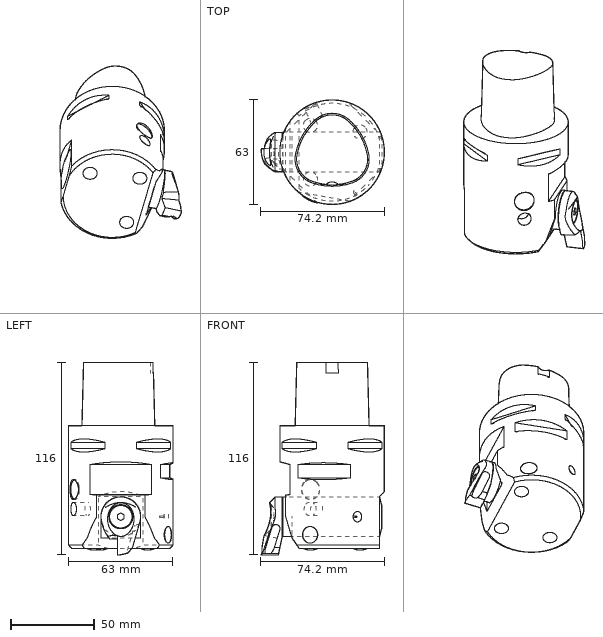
import cadquery as cq
import math


OVERALL_WIDTH = 74.2
OVERALL_HEIGHT = 116.0

BODY_RADIUS = 31.49
BODY_BOTTOM = -74.0
BOTTOM_CHAMFER = 2.0
OVERCUT = 5.8

SHANK_HEIGHT = 38.0
SHANK_TAPER = math.degrees(math.atan(1 / 40))
SIDE_DISTANCE = 20.5
LOBE_DISTANCE = 23.4
SIDE_ARC_RADIUS = 36.7
KEY_NOTCH_DIAMETER = 10.0
KEY_NOTCH_DEPTH = 6.5
KEY_NOTCH_INNER_Y = -17.9

GRIPPER_AZIMUTHS = (45, 135, 225, 315)
GRIPPER_FLOOR = 28.0
GRIPPER_TOP = -10.1
GRIPPER_BOTTOM = -13.9
GRIPPER_WALL_SLOPE = 30
MILLED_WALL_SLOPE = 15

CHIP_SLOT_AZIMUTH = 260
CHIP_SLOT_FLOOR = 27.1
CHIP_SLOT_TOP = -23.5
CHIP_SLOT_BOTTOM = -31.4

FLAT_X = -25.4
FLAT_TOP = -23.5
FLAT_BOTTOM = -41.4
LAND_X = -28.0
LAND_TOP = -41.9
RELIEF_X = -24.1
RELIEF_Z = -67.7
FOOT_X = -19.8

DIAL_FLAT_X = 28.5
DIAL_FLAT_TOP = -42.7

BARREL_DIAMETER = 24.0
BARREL_Z = -54.9
BARREL_FRONT_X = -29.6
DIAL_TIP_X = 29.9
DIAL_TIP_DIAMETER = 13.6

SIDE_BUTTON_AZIMUTH = 245
SIDE_BUTTON_Z = -65.8
SIDE_BUTTON_DIAMETER = 10.0
SIDE_BUTTON_RISE = 0.6
BOTTOM_BUTTON_AZIMUTHS = (36, 129, 231)
BOTTOM_BUTTON_DISTANCE = 20.8
BOTTOM_BUTTON_DIAMETER = 8.5
BOTTOM_BUTTON_RISE = 1.0
PORT_AZIMUTH = 115
SHALLOW_PORT_Z = -38.5
SHALLOW_PORT_DIAMETER = 12.0
SHALLOW_PORT_FLOOR = 30.4
DEEP_PORT_Z = -50.2
DEEP_PORT_DIAMETER = 8.0
DEEP_PORT_FLOOR = 22.0
NOZZLE_AZIMUTH = 299
NOZZLE_RIM_DIAMETER = 6.3
NOZZLE_MOUTH_DIAMETER = 5.0
NOZZLE_JET_DIAMETER = 1.0
NOZZLE_RIM_DEPTH = 0.5
NOZZLE_CONE_DEPTH = 1.7
NOZZLE_JET_DEPTH = 4.6

HEAD_DIAMETER = 23.8
HEAD_BACK_X = -29.9
ARM_BACK_Z = -66.7
HEAD_BACK_SLANT = 12
HEAD_REAR_X = -23.2
TIP_X = BODY_RADIUS - OVERALL_WIDTH
TIP_Z = SHANK_HEIGHT - OVERALL_HEIGHT
HEAD_RIM_X = -34.3
RAKE_Y = 2.1
ARM_SIDE_SLANT = 16
ARM_SIDE_END_Z = -73.5
HEEL_Z = -68.4
HEEL_INNER_Y = 6.5
EDGE_Y = 0.7
NOSE_Y = -4.2
NOSE_Z = -76.9
HEEL_BULGE = (9.7, -63.5)
FACE_MARGIN = 1.2
FACE_RADIUS = 16.8
HEAD_SECTIONS = ((-41.8, -36.9), (-73.1, -42.2))
TIP_SECTIONS = (HEAD_SECTIONS[-1], (-76.6, -42.3))
EDGE_SECTIONS = (TIP_SECTIONS[-1], (TIP_Z, TIP_X))
SCREW_SEAT_X = -36.5
SCREW_SEAT_DIAMETER = 14.5
SCREW_SEAT_MOUTH_X = -44.1
SCREW_FACE_DIAMETER = 13.6
SCREW_FACE_RISE = 0.3
HEX_ACROSS_FLATS = 4.0
HEX_DEPTH = 2.0
COOLANT_GROOVE_DIAMETER = 5.0
COOLANT_GROOVE_START_X = -33.9
COOLANT_GROOVE_START_Z = -62.1
COOLANT_GROOVE_LEAN = 17
COOLANT_GROOVE_LENGTH = 23.2


def tan_deg(angle):
    return math.tan(math.radians(angle))


def radial_plane(azimuth, z, distance=0.0):
    """Plane whose normal points outward from the tool axis and whose X is horizontal."""
    angle = math.radians(azimuth)
    outward = cq.Vector(math.cos(angle), math.sin(angle), 0)
    sideways = (-math.sin(angle), math.cos(angle), 0)
    return cq.Plane(origin=(outward * distance + cq.Vector(0, 0, z)).toTuple(),
                    xDir=sideways, normal=outward.toTuple())


def xz_prism(points, y_min, y_max):
    """Solid with an outline of (X, Z) points, from y_min to y_max."""
    plane = cq.Workplane("XZ", origin=(0, y_max, 0))
    return plane.polyline(points).close().extrude(y_max - y_min)


def x_revolve(profile, z):
    """Revolve (X, radius) points about the line along X at height z."""
    outline = cq.Workplane("XY", origin=(0, 0, z)).polyline(profile).close()
    return outline.revolve(360, (0, 0, 0), (1, 0, 0))


def domed_button(plane, diameter, rise, foot):
    """Round button whose cylindrical foot goes below the plane and whose dome stands above it."""
    radius = diameter / 2
    half_profile = cq.Workplane("XZ").moveTo(0, -foot).lineTo(radius, -foot).lineTo(radius, 0)
    sphere_radius = (radius ** 2 + rise ** 2) / (2 * rise)
    mid_height = math.sqrt(sphere_radius ** 2 - (radius / 2) ** 2) - (sphere_radius - rise)
    dome = half_profile.threePointArc((radius / 2, mid_height), (0, rise)).close()
    button = dome.revolve(360, (0, 0, 0), (0, 1, 0)).val()
    return cq.Workplane(button.moved(cq.Location(plane)))


def lobed_shank():
    """Taper shank of three side arcs blended tangentially into three lobe arcs."""
    side_offset = SIDE_ARC_RADIUS - SIDE_DISTANCE
    gap = LOBE_DISTANCE - SIDE_DISTANCE
    lobe_offset = (2 * gap * side_offset - gap ** 2) / (side_offset - 2 * gap)
    run = lobe_offset * math.sin(math.radians(60))
    rise = side_offset + lobe_offset * math.cos(math.radians(60))
    lean = math.atan2(run, rise)
    joint_x = SIDE_ARC_RADIUS * math.sin(lean)
    joint_y = side_offset - SIDE_ARC_RADIUS * math.cos(lean)
    joint_radius = math.hypot(joint_x, joint_y)
    joint_angle = math.degrees(math.atan2(joint_x, -joint_y))

    def polar(radius, angle):
        return (radius * math.cos(math.radians(angle)), radius * math.sin(math.radians(angle)))

    outline = cq.Workplane("XY").moveTo(*polar(joint_radius, 270 - joint_angle))
    for lobe in range(3):
        side = 270 + 120 * lobe
        outline = outline.threePointArc(polar(SIDE_DISTANCE, side),
                                        polar(joint_radius, side + joint_angle))
        outline = outline.threePointArc(polar(LOBE_DISTANCE, side + 60),
                                        polar(joint_radius, side + 120 - joint_angle))
    shank = outline.close().extrude(SHANK_HEIGHT, taper=SHANK_TAPER)
    notch_y = KEY_NOTCH_INNER_Y - KEY_NOTCH_DIAMETER / 2
    notch = (cq.Workplane("XY", origin=(0, notch_y, SHANK_HEIGHT - KEY_NOTCH_DEPTH))
             .circle(KEY_NOTCH_DIAMETER / 2).extrude(KEY_NOTCH_DEPTH))
    return shank.cut(notch)


def radial_slot(azimuth, floor, top, bottom, wall_slope):
    """Cutter for a flat-floored slot across the cylinder, flaring outward by wall_slope."""
    reach = BODY_RADIUS + OVERCUT
    flare = (reach - floor) * tan_deg(wall_slope)
    profile = [(floor, top), (reach, top + flare), (reach, bottom - flare), (floor, bottom)]
    return xz_prism(profile, -BODY_RADIUS, BODY_RADIUS).rotate((0, 0, 0), (0, 0, 1), azimuth)


def mill_cutter_side(body):
    """Flats and slopes of the -X side, and the slot below the barrel."""
    outer_x = -BODY_RADIUS - OVERCUT
    top_wall_z = FLAT_TOP + (FLAT_X - outer_x) * tan_deg(MILLED_WALL_SLOPE)
    profile = [
        (outer_x, top_wall_z),
        (FLAT_X, FLAT_TOP),
        (FLAT_X, FLAT_BOTTOM),
        (LAND_X, LAND_TOP),
        (LAND_X, BARREL_Z),
        (RELIEF_X, RELIEF_Z),
        (FOOT_X, BODY_BOTTOM),
        (outer_x, BODY_BOTTOM),
    ]
    body = body.cut(xz_prism(profile, -BODY_RADIUS, BODY_RADIUS))
    slot = [(LAND_X, BARREL_Z), (RELIEF_X, BARREL_Z), (RELIEF_X, RELIEF_Z), (LAND_X, RELIEF_Z)]
    return body.cut(xz_prism(slot, -BARREL_DIAMETER / 2, BARREL_DIAMETER / 2))


def mill_dial_side(body):
    """Flat of the +X side with a 45 degree run-out."""
    outer_x = BODY_RADIUS + OVERCUT
    profile = [
        (DIAL_FLAT_X, BODY_BOTTOM),
        (DIAL_FLAT_X, DIAL_FLAT_TOP),
        (outer_x, DIAL_FLAT_TOP + outer_x - DIAL_FLAT_X),
        (outer_x, BODY_BOTTOM),
    ]
    return body.cut(xz_prism(profile, -BODY_RADIUS, BODY_RADIUS))


def round_port(azimuth, z, diameter, floor):
    """Cutter for a round radial hole down to a flat floor."""
    plane = cq.Workplane(radial_plane(azimuth, z, floor))
    return plane.circle(diameter / 2).extrude(BODY_RADIUS + OVERCUT - floor)


def nozzle_cut():
    """Chamfered rim, cone and jet hole of the coolant nozzle."""
    rim = NOZZLE_RIM_DIAMETER / 2
    mouth = NOZZLE_MOUTH_DIAMETER / 2
    jet = NOZZLE_JET_DIAMETER / 2
    profile = [
        (0, OVERCUT),
        (rim, OVERCUT),
        (rim, 0),
        (mouth, -NOZZLE_RIM_DEPTH),
        (jet, -NOZZLE_CONE_DEPTH),
        (jet, -NOZZLE_JET_DEPTH),
        (0, -NOZZLE_JET_DEPTH),
    ]
    cutter = cq.Workplane("XZ").polyline(profile).close().revolve(360, (0, 0, 0), (0, 1, 0)).val()
    place = cq.Location(radial_plane(NOZZLE_AZIMUTH, BARREL_Z, BODY_RADIUS))
    return cq.Workplane(cutter.moved(place))


def make_barrel():
    """Cross barrel with a conical dial on its +X end."""
    radius = BARREL_DIAMETER / 2
    profile = [
        (BARREL_FRONT_X, 0),
        (BARREL_FRONT_X, radius),
        (DIAL_FLAT_X, radius),
        (DIAL_TIP_X, DIAL_TIP_DIAMETER / 2),
        (DIAL_TIP_X, 0),
    ]
    return x_revolve(profile, BARREL_Z)


def make_housing(barrel):
    body = (cq.Workplane("XY", origin=(0, 0, BODY_BOTTOM)).circle(BODY_RADIUS)
            .extrude(-BODY_BOTTOM).faces("<Z").chamfer(BOTTOM_CHAMFER))
    body = mill_dial_side(mill_cutter_side(body))
    for azimuth in GRIPPER_AZIMUTHS:
        body = body.cut(radial_slot(azimuth, GRIPPER_FLOOR, GRIPPER_TOP, GRIPPER_BOTTOM,
                                    GRIPPER_WALL_SLOPE))
    body = body.cut(radial_slot(CHIP_SLOT_AZIMUTH, CHIP_SLOT_FLOOR, CHIP_SLOT_TOP,
                                CHIP_SLOT_BOTTOM, MILLED_WALL_SLOPE))
    body = body.cut(round_port(PORT_AZIMUTH, SHALLOW_PORT_Z, SHALLOW_PORT_DIAMETER,
                               SHALLOW_PORT_FLOOR))
    body = body.cut(round_port(PORT_AZIMUTH, DEEP_PORT_Z, DEEP_PORT_DIAMETER, DEEP_PORT_FLOOR))
    body = body.cut(nozzle_cut())
    body = body.union(domed_button(radial_plane(SIDE_BUTTON_AZIMUTH, SIDE_BUTTON_Z, BODY_RADIUS),
                                   SIDE_BUTTON_DIAMETER, SIDE_BUTTON_RISE, OVERCUT))
    for azimuth in BOTTOM_BUTTON_AZIMUTHS:
        angle = math.radians(azimuth)
        center = (BOTTOM_BUTTON_DISTANCE * math.cos(angle),
                  BOTTOM_BUTTON_DISTANCE * math.sin(angle), BODY_BOTTOM)
        plane = cq.Plane(origin=center, xDir=(1, 0, 0), normal=(0, 0, -1))
        body = body.union(domed_button(plane, BOTTOM_BUTTON_DIAMETER, BOTTOM_BUTTON_RISE, OVERCUT))
    return body.union(lobed_shank()).cut(barrel)


def arm_side_y(z):
    """Y of the slanted -Y side of the arm, tangent to the round head."""
    radius = HEAD_DIAMETER / 2
    lean = math.radians(ARM_SIDE_SLANT)
    return -(radius + (z - BARREL_Z) * math.sin(lean)) / math.cos(lean)


def head_outline():
    """Head profile along X: round top, bulged heel on +Y, and the arm running down to the tip."""
    radius = HEAD_DIAMETER / 2
    lean = math.radians(ARM_SIDE_SLANT)
    tangent_y = -radius * math.cos(lean)
    tangent_z = BARREL_Z - radius * math.sin(lean)
    heel_start = (radius * math.cos(lean), tangent_z)
    outline = (
        cq.Workplane("YZ", origin=(HEAD_REAR_X, 0, 0))
        .moveTo(*heel_start)
        .threePointArc((0, BARREL_Z + radius), (tangent_y, tangent_z))
        .lineTo(arm_side_y(ARM_SIDE_END_Z), ARM_SIDE_END_Z)
        .lineTo(NOSE_Y, NOSE_Z)
        .lineTo(EDGE_Y, TIP_Z)
        .lineTo(RAKE_Y, TIP_Z)
        .lineTo(RAKE_Y, HEEL_Z)
        .lineTo(HEEL_INNER_Y, HEEL_Z)
        .threePointArc(HEEL_BULGE, heel_start)
        .close()
    )
    return outline.extrude(TIP_X - HEAD_REAR_X - OVERCUT)


def curved_face_blank(sections):
    """Blank whose convex -X face runs through the given sections."""
    half_width = (HEAD_DIAMETER + FACE_MARGIN) / 2
    sag = FACE_RADIUS - math.sqrt(FACE_RADIUS ** 2 - half_width ** 2)
    blank = cq.Workplane("XY")
    height = 0.0
    for z, front_x in sections:
        side_x = front_x + sag
        blank = (
            blank.workplane(offset=z - height)
            .moveTo(HEAD_REAR_X, -half_width)
            .lineTo(side_x, -half_width)
            .threePointArc((front_x, 0), (side_x, half_width))
            .lineTo(HEAD_REAR_X, half_width)
            .close()
        )
        height = z
    return blank.loft(combine=True)


def rim_cone_cut():
    """Cutter for the conical rim round the upper half of the head."""
    radius = HEAD_DIAMETER / 2
    profile = [
        (HEAD_RIM_X, radius),
        (HEAD_RIM_X, radius + OVERCUT),
        (HEAD_RIM_X - radius, radius + OVERCUT),
        (HEAD_RIM_X - radius, 0),
    ]
    outline = cq.Workplane("XY", origin=(0, 0, BARREL_Z)).polyline(profile).close()
    return outline.revolve(180, (0, 0, 0), (1, 0, 0))


def back_cut():
    """Cutter that levels the back of the head and slants the back of the arm."""
    slant_end_x = HEAD_BACK_X + (TIP_Z - ARM_BACK_Z) * tan_deg(HEAD_BACK_SLANT)
    top_z = BARREL_Z + HEAD_DIAMETER
    profile = [
        (HEAD_BACK_X, top_z),
        (HEAD_BACK_X, ARM_BACK_Z),
        (slant_end_x, TIP_Z),
        (HEAD_REAR_X, TIP_Z),
        (HEAD_REAR_X, top_z),
    ]
    return xz_prism(profile, -HEAD_DIAMETER, HEAD_DIAMETER)


def heel_cut():
    """Cutter for the heel underside, square to the slanted back of the arm."""
    rise = (HEAD_BACK_X - TIP_X) * tan_deg(HEAD_BACK_SLANT)
    profile = [(HEAD_BACK_X, HEEL_Z), (TIP_X, HEEL_Z + rise), (TIP_X, HEEL_Z)]
    return xz_prism(profile, RAKE_Y, HEAD_DIAMETER)


def screw_recess_cut():
    """Cutter for the flared screw recess, leaving the screw face with its hex socket."""
    seat = SCREW_SEAT_DIAMETER / 2
    flare = seat + SCREW_SEAT_X - SCREW_SEAT_MOUTH_X
    recess = x_revolve([(SCREW_SEAT_X, 0), (SCREW_SEAT_X, seat), (SCREW_SEAT_MOUTH_X, flare),
                        (SCREW_SEAT_MOUTH_X, 0)], BARREL_Z)
    face_plane = cq.Workplane("YZ", origin=(SCREW_SEAT_X, 0, BARREL_Z))
    screw_face = face_plane.circle(SCREW_FACE_DIAMETER / 2).extrude(-SCREW_FACE_RISE)
    corner_diameter = HEX_ACROSS_FLATS / math.cos(math.radians(30))
    socket = (cq.Workplane("YZ", origin=(SCREW_SEAT_X - SCREW_FACE_RISE, 0, BARREL_Z))
              .transformed(rotate=(0, 0, 90)).polygon(6, corner_diameter).extrude(HEX_DEPTH))
    return recess.cut(screw_face).union(socket)


def coolant_groove_cut():
    """Cutter for the half-round, ball-ended coolant groove along the slanted -Y side of the arm."""
    lean = math.radians(COOLANT_GROOVE_LEAN)
    down_x = -math.sin(lean)
    down_z = -math.cos(lean)
    down_y = down_z * -tan_deg(ARM_SIDE_SLANT)
    plane = cq.Plane(
        origin=(COOLANT_GROOVE_START_X, arm_side_y(COOLANT_GROOVE_START_Z), COOLANT_GROOVE_START_Z),
        xDir=(down_z, 0, -down_x), normal=(down_x, down_y, down_z))
    groove = cq.Workplane(plane).circle(COOLANT_GROOVE_DIAMETER / 2).extrude(COOLANT_GROOVE_LENGTH)
    return groove.union(cq.Workplane(plane).sphere(COOLANT_GROOVE_DIAMETER / 2))


def make_cutter_head():
    blank = curved_face_blank(HEAD_SECTIONS)
    for sections in (TIP_SECTIONS, EDGE_SECTIONS):
        blank = blank.union(curved_face_blank(sections))
    head = head_outline().intersect(blank)
    for cutter in (rim_cone_cut(), back_cut(), heel_cut(), screw_recess_cut(),
                   coolant_groove_cut()):
        head = head.cut(cutter)
    return head


barrel = make_barrel()
housing = make_housing(barrel)
cutter_head = make_cutter_head()
bodies = (housing, barrel, cutter_head)
result = cq.Compound.makeCompound([body.solids().val() for body in bodies])